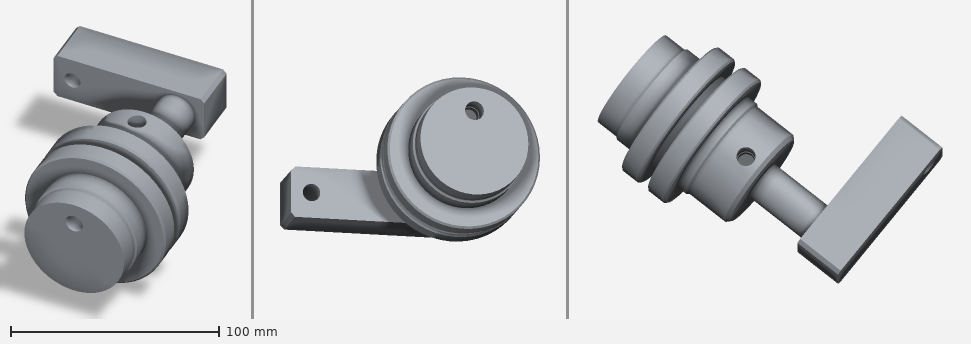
import cadquery as cq


BODY_LENGTH = 80.0
BODY_DIAMETER = 53.0
REAR_CHAMFER = 2.0

BAND_DIAMETER = 55.0
BAND_FRONT = 11.5
BAND_REAR = 56.0
BAND_CHAMFER = (BAND_DIAMETER - BODY_DIAMETER) / 2

PORT_DIAMETER = 9.2
PORT_DEPTH = 10.0
PORT_DRILL_DIAMETER = 8.3
PORT_DRILL_DEPTH = 14.0
FRONT_PORT_HEIGHT = 15.0
TOP_PORT_FROM_REAR = 10.0

RING_DIAMETER = 75.0
RING_WIDTH = 11.0
RING_CHAMFER = 1.0
RING_FRONTS = (23.0, 39.0)

ROD_DIAMETER = 20.0
ROD_LENGTH = 33.6

ARM_LENGTH = 80.0
ARM_SIZE = 25.0
ARM_CHAMFER = 2.0
ARM_OVERHANG = 15.0
ARM_HOLE_DIAMETER = 8.5
ARM_HOLE_FROM_TIP = 10.0


def disc(diameter, start, length):
    """Cylinder along +Y from Y = start."""
    plane = cq.Workplane("XZ", origin=(0, start, 0))
    return plane.circle(diameter / 2).extrude(-length)


def make_port(plane_name, mouth):
    """Stepped bore sunk from its mouth: a wide threaded length, then a narrower drilled one."""
    plane = cq.Workplane(plane_name, origin=mouth)
    thread = plane.circle(PORT_DIAMETER / 2).extrude(-PORT_DEPTH)
    drill = plane.circle(PORT_DRILL_DIAMETER / 2).extrude(-PORT_DRILL_DEPTH)
    return thread.union(drill)


def make_cylinder_body():
    body = disc(BODY_DIAMETER, 0, BODY_LENGTH).faces(">Y").chamfer(REAR_CHAMFER)
    band = disc(BAND_DIAMETER, BAND_FRONT, BAND_REAR - BAND_FRONT)
    band = band.faces("<Y or >Y").chamfer(BAND_CHAMFER)
    body = body.union(band)

    front_port = make_port("XZ", (0, 0, FRONT_PORT_HEIGHT))
    top_port = make_port("XY", (0, BODY_LENGTH - TOP_PORT_FROM_REAR, BODY_DIAMETER / 2))
    return body.cut(front_port).cut(top_port)


def make_ring(front):
    ring = disc(RING_DIAMETER, front, RING_WIDTH).faces("<Y or >Y").chamfer(RING_CHAMFER)
    return ring.cut(disc(BAND_DIAMETER, front, RING_WIDTH))


def make_rod():
    return disc(ROD_DIAMETER, BODY_LENGTH, ROD_LENGTH)


def make_arm():
    tip = ARM_OVERHANG - ARM_LENGTH
    front = BODY_LENGTH + ROD_LENGTH
    arm = (
        cq.Workplane("XY")
        .box(ARM_LENGTH, ARM_SIZE, ARM_SIZE, centered=(False, False, True))
        .translate((tip, front, 0))
        .edges("|Y")
        .chamfer(ARM_CHAMFER)
    )
    hole = disc(ARM_HOLE_DIAMETER, front, ARM_SIZE).translate((tip + ARM_HOLE_FROM_TIP, 0, 0))
    return arm.cut(hole)


cylinder_body = make_cylinder_body()
rings = [make_ring(front) for front in RING_FRONTS]
rod = make_rod()
arm = make_arm()

result = cq.Compound.makeCompound(
    [cylinder_body.val(), *[ring.val() for ring in rings], rod.val(), arm.val()]
)